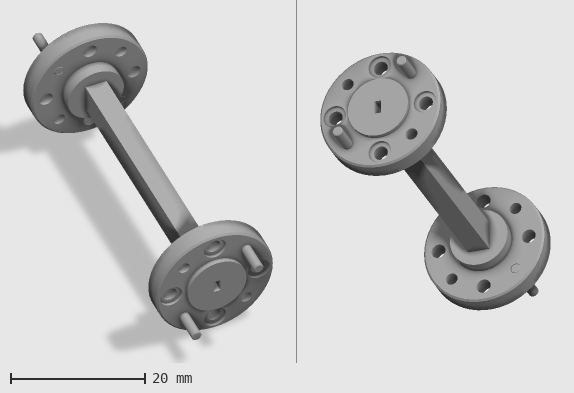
import cadquery as cq
import math

overall_length = 58.55
face_to_face = 50.8

flange_diameter = 19.05
flange_thickness = 3.4
flange_chamfer = 0.28
raised_face_diameter = 9.525
raised_face_height = 0.8
hub_diameter = 9.1
hub_length = 2.15

hole_circle_diameter = 14.28
bolt_hole_diameter = 2.2
counterbore_diameter = 3.57
counterbore_depth = 0.5
dowel_hole_diameter = 1.85

guide_width = 1.02
guide_height = 2.03
tube_wall = 1.2
tube_width = guide_width + 2 * tube_wall
tube_height = guide_height + 2 * tube_wall

pin_diameter = 1.58
pin_chamfer = 0.13

face_x = face_to_face / 2
flange_front_x = face_x - raised_face_height
flange_back_x = flange_front_x - flange_thickness
hub_end_x = flange_back_x - hub_length
pin_length = overall_length / 2 - flange_back_x

bolt_angles = (0, 90, 180, 270)
pin_angles = (45, 225)
open_dowel_angles = (135, 315)


def hole_points(angles):
    """(Y, Z) places on the hole circle."""
    radius = hole_circle_diameter / 2
    return [
        (radius * math.cos(math.radians(a)), radius * math.sin(math.radians(a)))
        for a in angles
    ]


def plane_at(x):
    """YZ plane at x; extrusion runs towards +X."""
    return cq.Workplane("YZ", origin=(x, 0, 0))


def cylinders(x, length, diameter, angles):
    """Cylinders along +X on the hole circle."""
    return plane_at(x).pushPoints(hole_points(angles)).circle(diameter / 2).extrude(length)


def other_end(shape):
    """The same shape turned half a turn about Z, for the -X end."""
    return shape.rotate((0, 0, 0), (0, 0, 1), 180)


def make_flange():
    """Flange at the +X end, with hub, raised face and holes."""
    disc = plane_at(flange_back_x).circle(flange_diameter / 2).extrude(flange_thickness)
    disc = disc.edges().chamfer(flange_chamfer)
    hub = plane_at(hub_end_x).circle(hub_diameter / 2).extrude(hub_length)
    raised_face = plane_at(flange_front_x).circle(raised_face_diameter / 2).extrude(raised_face_height)
    flange = disc.union(hub).union(raised_face)

    flange = flange.cut(cylinders(flange_back_x, flange_thickness, bolt_hole_diameter, bolt_angles))
    counterbore_x = flange_front_x - counterbore_depth
    flange = flange.cut(cylinders(counterbore_x, counterbore_depth, counterbore_diameter, bolt_angles))
    flange = flange.cut(cylinders(flange_back_x, flange_thickness, dowel_hole_diameter, open_dowel_angles))
    return flange.cut(cylinders(flange_back_x, flange_thickness, pin_diameter, pin_angles))


def make_waveguide():
    """Tube with a flange at each end and the guide opening through all of it."""
    flange = make_flange()
    tube = cq.Workplane().box(2 * hub_end_x, tube_width, tube_height)
    guide_opening = cq.Workplane().box(face_to_face, guide_width, guide_height)
    return tube.union(flange).union(other_end(flange)).cut(guide_opening)


def make_pin(angle):
    """Alignment pin at the +X end, chamfered at both ends."""
    return cylinders(flange_back_x, pin_length, pin_diameter, [angle]).faces("|X").chamfer(pin_chamfer)


waveguide = make_waveguide()

pins = []
for pin_angle in pin_angles:
    pin = make_pin(pin_angle)
    pins.append(pin.val())
    pins.append(other_end(pin).val())

result = cq.Compound.makeCompound([waveguide.val(), *pins])